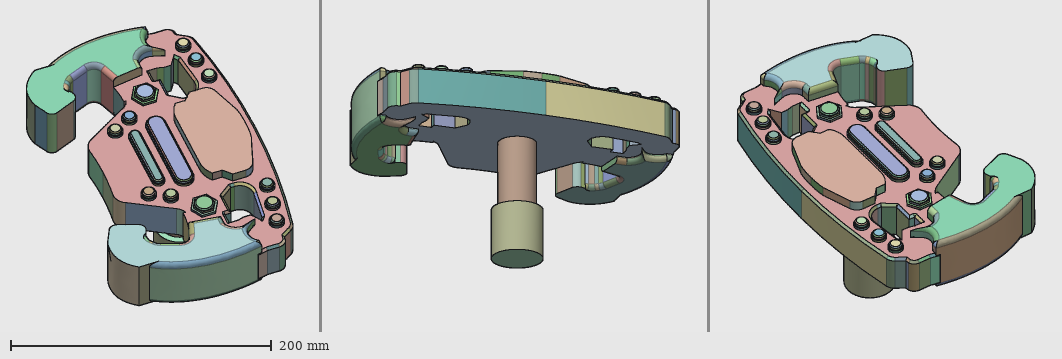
import cadquery as cq


PLATE_THICKNESS = 30.0
PLATE_CHAMFER = 2.0
PLATE_CORNER_RADIUS = 9.0
PLATE_TOP_Y = 63.2
PLATE_BOTTOM_Y = -63.1

GRIP_TOP = PLATE_THICKNESS + 10.0
GRIP_BOTTOM = -5.0
GRIP_HEIGHT = GRIP_TOP - GRIP_BOTTOM
GRIP_ROUND = 4.0
GRIP_HALF_WIDTH = 246.74 / 2
GRIP_LIMIT_X = 140.0
GRIP_LIMIT_Y = 30.0
BAY_CORNER_RADIUS = 7.5
GRIP_TAIL_Y = -75.0
ARM_INNER_X = 60.0
PALM_CURVE = [(119.9, 20), (GRIP_HALF_WIDTH, -9), (115.2, -55), (103, GRIP_TAIL_Y)]
SHOULDER_CURVE = [(111, 16.2), (106, 14.8), (100.5, 15.8), (97.3, 18.8), (93, 24.8), (88.5, 32)]
HOOK_CURVE = [(103, -82.6), (95, -88.3), (85, -90.67), (75, -89.3)]

COLUMN_DIAMETER = 30.0
COLUMN_LENGTH = 55.0
HUB_DIAMETER = 40.0
HUB_LENGTH = 40.0

FLANGE_HEIGHT = 2.0
CAP_HEIGHT = 3.0
CAP_CHAMFER = 1.0
BUTTON_FLANGE_DIAMETER = 12.0
BUTTON_CAP_DIAMETER = 10.0
BUTTON_PLACES = [(60.0, 48.5), (79.0, 45.3), (96.5, 41.7), (42.8, -24.2), (34.5, -39.2)]
KNOB_PLACE = (61.2, -4.0)
KNOB_FLANGE_ACROSS_CORNERS = 22.0
KNOB_STEP_ACROSS_CORNERS = 18.0
KNOB_CAP_DIAMETER = 15.0

LIGHT_BARS = [(-7.9, 57.0, 16.0, 14.0), (-27.1, 48.0, 10.0, 8.0)]

DISPLAY_HEIGHT = 8.0
DISPLAY_TOP_Y = 54.5
DISPLAY_BOTTOM_Y = 6.8
DISPLAY_HALF_WIDTH = 45.0
DISPLAY_FOOT_HALF_WIDTH = 38.3


def with_mirror(body):
    """Join a body with its mirror image across the YZ plane."""
    return body.union(body.mirror("YZ"))


def edges_in_box(body, low, high):
    """Edges of the body whose centres lie inside a box."""
    return body.edges(cq.selectors.BoxSelector(low, high))


def plate_half():
    """The +X half of the plate, with its upper rim chamfered."""
    half = (
        cq.Workplane("XY")
        .moveTo(0, PLATE_BOTTOM_Y)
        .threePointArc((12, -63.5), (24.5, -64.6))
        .threePointArc((30.5, -63.2), (35, -58.5))
        .lineTo(55.3, -24.5)
        .threePointArc((58, -21.3), (61.2, -19.5))
        .lineTo(61.2, -21.5)
        .threePointArc((70, -22), (77.8, -23.5))
        .lineTo(100, -10)
        .lineTo(121, 17)
        .lineTo(119.25, 25)
        .lineTo(119.25, 35)
        .tangentArcPoint((114.5, 41.8), relative=False)
        .lineTo(111.3, 42.3)
        .lineTo(104.7, 52.5)
        .threePointArc((53, 60.5), (0, PLATE_TOP_Y))
        .close()
        .extrude(PLATE_THICKNESS)
    )
    half = edges_in_box(half, (104, 52, 0), (106, 53, PLATE_THICKNESS)).fillet(PLATE_CORNER_RADIUS)
    rim = edges_in_box(half, (10, 18, PLATE_THICKNESS - 1), (130, 70, PLATE_THICKNESS + 1))
    return rim.chamfer(PLATE_CHAMFER)


def thumb_window():
    """Cutter for the window beside a grip: its rim is chamfered except along the grip side."""

    def loop(height):
        return (
            cq.Workplane("XY")
            .workplane(offset=height)
            .moveTo(94, 8.3)
            .lineTo(94, 27.5)
            .lineTo(86.5, 33.6)
            .lineTo(61.5, 36.8)
            .tangentArcPoint((49.1, 25.9), relative=False)
            .lineTo(49.1, 22.7)
            .lineTo(56, 13.4)
            .lineTo(73.3, 13.4)
            .lineTo(73.3, 8.3)
            .close()
        )

    shaft = loop(0).extrude(PLATE_THICKNESS)
    flare = loop(PLATE_THICKNESS - PLATE_CHAMFER).extrude(PLATE_CHAMFER, taper=-45)
    inboard_of_grip = (
        cq.Workplane("XY")
        .moveTo(40, 0)
        .lineTo(83.6, 0)
        .lineTo(83.6, 15)
        .lineTo(82.2, 20)
        .lineTo(82.2, 26)
        .lineTo(97, 36)
        .lineTo(97, 45)
        .lineTo(40, 45)
        .close()
        .extrude(PLATE_THICKNESS)
    )
    return shaft.union(flare).intersect(inboard_of_grip)


def windowed_plate():
    return with_mirror(plate_half().cut(thumb_window()))


def grip_blank(outline):
    return outline.close().extrude(GRIP_HEIGHT)


def grip_sketch():
    return cq.Workplane("XY").workplane(offset=GRIP_BOTTOM)


def rounded(body, low, high):
    """Round the upper and lower edges whose centres lie inside an XY rectangle."""
    for z in (GRIP_BOTTOM, GRIP_TOP):
        body = edges_in_box(body, (*low, z - 1), (*high, z + 1)).fillet(GRIP_ROUND)
    return body


def palm_side():
    """Everything inboard of the outer palm curve."""
    body = grip_blank(
        grip_sketch()
        .moveTo(117.3, GRIP_LIMIT_Y)
        .spline(PALM_CURVE, includeCurrent=True)
        .lineTo(ARM_INNER_X, GRIP_TAIL_Y)
        .lineTo(ARM_INNER_X, GRIP_LIMIT_Y)
    )
    return rounded(body, (100, -60), (GRIP_LIMIT_X, 25))


def below_shoulder():
    """Everything below the hollow shoulder at the top of the grip."""
    body = grip_blank(
        grip_sketch()
        .moveTo(GRIP_LIMIT_X, 20)
        .lineTo(115, 20)
        .spline(SHOULDER_CURVE, includeCurrent=True)
        .lineTo(ARM_INNER_X, 32)
        .lineTo(ARM_INNER_X, GRIP_TAIL_Y)
        .lineTo(GRIP_LIMIT_X, GRIP_TAIL_Y)
    )
    return rounded(body, (85, 10), (139, 30))


def outside_bays(root_rounded):
    """Everything outboard of the thumb hollow, the root of the arm and the finger bay."""
    body = grip_blank(
        grip_sketch()
        .moveTo(91, GRIP_LIMIT_Y)
        .lineTo(96, 16)
        .tangentArcPoint((89.5, 1.7), relative=False)
        .lineTo(81.3, 1.7)
        .lineTo(77.8, -23.5)
        .lineTo(98.2, -30.8)
        .lineTo(89.2, -53.8)
        .lineTo(83, -58.5)
        .lineTo(76, -58.7)
        .lineTo(76, GRIP_TAIL_Y)
        .lineTo(GRIP_LIMIT_X, GRIP_TAIL_Y)
        .lineTo(GRIP_LIMIT_X, GRIP_LIMIT_Y)
    )
    body = edges_in_box(body, (80, -59, 0), (99, -30, GRIP_TOP)).fillet(BAY_CORNER_RADIUS)
    inner_limit = 78 if root_rounded else 81
    return rounded(body, (inner_limit, -59), (97, 24))


def hook():
    """The square-edged hook at the lower end of the grip."""
    return grip_blank(
        grip_sketch()
        .moveTo(108.1, -60)
        .lineTo(108.1, -76.5)
        .spline(HOOK_CURVE, includeCurrent=True)
        .lineTo(64, -83.7)
        .threePointArc((61.6, -80.8), (61.5, -76.5))
        .lineTo(68, -60.2)
        .threePointArc((70, -58), (74, -57.2))
        .lineTo(78, -58.8)
        .threePointArc((80.8, -62), (84.5, -62))
    )


def grip(root_rounded):
    arm = palm_side().intersect(below_shoulder()).intersect(outside_bays(root_rounded))
    return arm.union(hook())


def on_plate(height=0.0):
    return cq.Workplane("XY").workplane(offset=PLATE_THICKNESS + height)


def cap(sketch):
    return sketch.extrude(CAP_HEIGHT).faces(">Z").edges().chamfer(CAP_CHAMFER)


def button(x, y):
    flange = on_plate().center(x, y).circle(BUTTON_FLANGE_DIAMETER / 2).extrude(FLANGE_HEIGHT)
    return flange.union(cap(on_plate(FLANGE_HEIGHT).center(x, y).circle(BUTTON_CAP_DIAMETER / 2)))


def knob(x, y):
    """A button on two stacked hexagons, their corners pointing along Y."""

    def hexagon(height, across_corners):
        sketch = on_plate(height).center(x, y).transformed(rotate=(0, 0, 90))
        return sketch.polygon(6, across_corners).extrude(FLANGE_HEIGHT)

    flange = hexagon(0, KNOB_FLANGE_ACROSS_CORNERS)
    step = hexagon(FLANGE_HEIGHT, KNOB_STEP_ACROSS_CORNERS)
    return flange.union(step).union(cap(on_plate(FLANGE_HEIGHT).center(x, y).circle(KNOB_CAP_DIAMETER / 2)))


def light_bar(y, end_spacing, flange_width, cap_width):
    flange = on_plate().center(0, y).slot2D(end_spacing + flange_width, flange_width).extrude(FLANGE_HEIGHT)
    strip = cap(on_plate(FLANGE_HEIGHT).center(0, y).slot2D(end_spacing + cap_width, cap_width))
    return flange.union(strip)


def display():
    half = (
        on_plate()
        .moveTo(0, DISPLAY_TOP_Y)
        .threePointArc((8, 54.3), (15, 53.4))
        .lineTo(39, 45.1)
        .threePointArc((43.2, 42), (DISPLAY_HALF_WIDTH, 37))
        .lineTo(DISPLAY_HALF_WIDTH, 26)
        .lineTo(DISPLAY_FOOT_HALF_WIDTH, 20)
        .lineTo(DISPLAY_FOOT_HALF_WIDTH, 11.8)
        .threePointArc((32.5, 8.3), (25, DISPLAY_BOTTOM_Y))
        .lineTo(0, DISPLAY_BOTTOM_Y)
        .close()
        .extrude(DISPLAY_HEIGHT)
    )
    return with_mirror(half)


def column():
    shaft = cq.Workplane("XY").circle(COLUMN_DIAMETER / 2).extrude(-COLUMN_LENGTH)
    hub = cq.Workplane("XY").workplane(offset=-COLUMN_LENGTH).circle(HUB_DIAMETER / 2).extrude(-HUB_LENGTH)
    return shaft.union(hub)


result = windowed_plate()
result = result.union(grip(root_rounded=True))
result = result.union(grip(root_rounded=False).mirror("YZ"))
for place in BUTTON_PLACES:
    result = result.union(with_mirror(button(*place)))
result = result.union(with_mirror(knob(*KNOB_PLACE)))
for bar in LIGHT_BARS:
    result = result.union(light_bar(*bar))
result = result.union(display()).union(column())